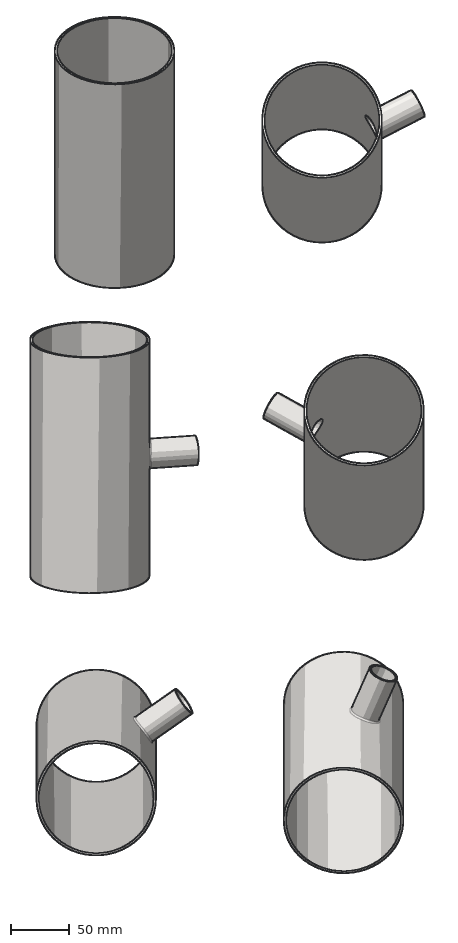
import cadquery as cq

RUN_DIAMETER = 101.6
RUN_LENGTH = 209.55
RUN_WALL = 2.11

BRANCH_DIAMETER = 25.4
BRANCH_WALL = 1.65
BRANCH_REACH = 92.075

JUNCTION_FILLET = 1.5
SELECTION_MARGIN = 1.0

RUN_RADIUS = RUN_DIAMETER / 2
RUN_BORE_RADIUS = RUN_RADIUS - RUN_WALL
BRANCH_RADIUS = BRANCH_DIAMETER / 2
BRANCH_BORE_RADIUS = BRANCH_RADIUS - BRANCH_WALL


def run_cylinder(radius):
    """Cylinder along Z, centred on the origin, as long as the run."""
    return cq.Workplane("XY").circle(radius).extrude(RUN_LENGTH / 2, both=True)


def branch_cylinder(radius):
    """Cylinder along +Y, from the run axis out to the branch end."""
    return cq.Workplane("XZ").circle(radius).extrude(-BRANCH_REACH)


def junction_edges(body):
    """Edges of the saddle curve between the branch and the outside of the run."""
    half_width = BRANCH_RADIUS + SELECTION_MARGIN
    near_junction = cq.selectors.BoxSelector(
        (-half_width, 0, -half_width),
        (half_width, RUN_RADIUS + SELECTION_MARGIN, half_width),
        boundingbox=True,
    )
    return body.edges(near_junction)


def outer_body():
    """Run and branch as solid bars, blended together at the junction."""
    body = run_cylinder(RUN_RADIUS).union(branch_cylinder(BRANCH_RADIUS))
    return junction_edges(body).fillet(JUNCTION_FILLET)


def bores():
    """Inside of the run and of the branch, which open into each other."""
    return run_cylinder(RUN_BORE_RADIUS).union(branch_cylinder(BRANCH_BORE_RADIUS))


result = outer_body().cut(bores())